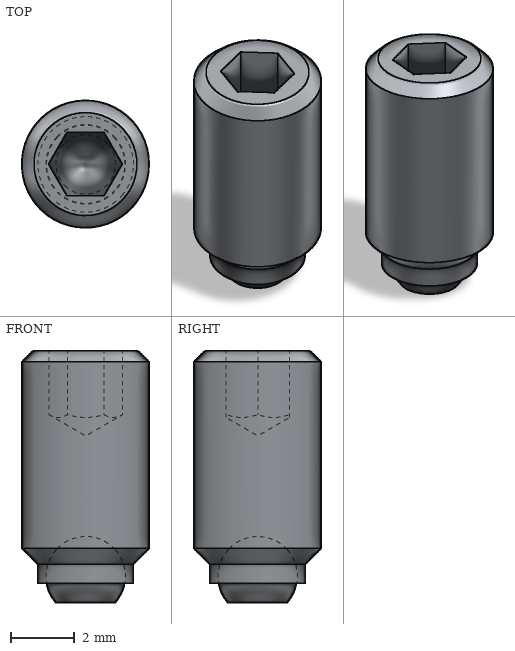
import cadquery as cq
import math

screw_radius = 2.0
collar_radius = 1.5
total_height = 7.9
collar_bottom = 0.6
collar_height = 0.6
top_face_radius = 1.615
rim_bevel_width = 0.07
rim_bevel_angle = 30.0

hex_across_flats = 2.0
hex_depth = 2.0
drill_point_angle = 120.0

ball_radius = 1.25
ball_center_height = 0.83

collar_top = collar_bottom + collar_height
lower_cone_top = collar_top + (screw_radius - collar_radius)
rim_radius = top_face_radius + rim_bevel_width
rim_height = total_height - rim_bevel_width * math.tan(math.radians(rim_bevel_angle))
shank_top = rim_height - (screw_radius - rim_radius)
hex_across_corners = hex_across_flats / math.cos(math.radians(30))
drill_cone_slope = 1 / math.tan(math.radians(drill_point_angle / 2))
drill_tip_height = total_height - hex_depth - hex_across_corners / 2 * drill_cone_slope


def make_thrust_ball():
    """Ball with its lower cap cut off by a flat at Z = 0."""
    flat_radius = math.sqrt(ball_radius**2 - ball_center_height**2)
    return (
        cq.Workplane("XZ")
        .lineTo(flat_radius, 0)
        .threePointArc(
            (ball_radius, ball_center_height),
            (0, ball_center_height + ball_radius),
        )
        .close()
        .revolve(360, (0, 0, 0), (0, 1, 0))
    )


def make_screw_blank():
    """Turned outside shape: collar, shank between 45 degree cones, and a beveled rim."""
    return (
        cq.Workplane("XZ")
        .moveTo(0, collar_bottom)
        .lineTo(collar_radius, collar_bottom)
        .lineTo(collar_radius, collar_top)
        .lineTo(screw_radius, lower_cone_top)
        .lineTo(screw_radius, shank_top)
        .lineTo(rim_radius, rim_height)
        .lineTo(top_face_radius, total_height)
        .lineTo(0, total_height)
        .close()
        .revolve(360, (0, 0, 0), (0, 1, 0))
    )


def make_hex_socket():
    """Hexagonal hole with corners along X, ending in a conical drill point."""
    hexagon = (
        cq.Workplane("XY", origin=(0, 0, drill_tip_height))
        .polygon(6, hex_across_corners)
        .extrude(total_height - drill_tip_height)
    )
    pointed_bar = (
        cq.Workplane("XZ")
        .moveTo(0, drill_tip_height)
        .lineTo(screw_radius, drill_tip_height + screw_radius * drill_cone_slope)
        .lineTo(screw_radius, total_height)
        .lineTo(0, total_height)
        .close()
        .revolve(360, (0, 0, 0), (0, 1, 0))
    )
    return hexagon.intersect(pointed_bar)


thrust_ball = make_thrust_ball()
screw = make_screw_blank().cut(make_hex_socket()).cut(thrust_ball)

result = cq.Compound.makeCompound([screw.val(), thrust_ball.val()])